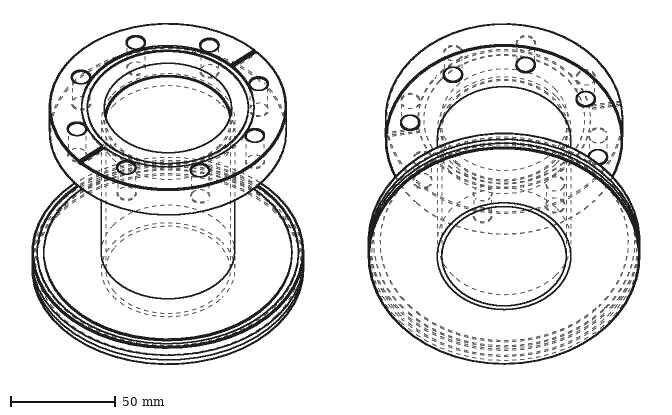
import cadquery as cq

total_height = 110.0

tube_diameter = 64.0
tube_bore = 59.5

clamp_flange_diameter = 130.0
clamp_flange_height = 12.0
clamp_flange_chamfer = 0.5
rim_groove_radius = 1.5
rim_groove_height = 5.1
claw_groove_outer_diameter = 125.0
claw_groove_inner_diameter = 118.8
claw_groove_depth = 1.0

bolt_flange_diameter = 113.5
bolt_flange_height = 17.5
bolt_flange_chamfer = 0.5
bolt_flange_bore = 61.0
bore_lip_height = 8.3

recess_diameter = 82.5
recess_depth = 1.2
knife_edge_diameter = 77.1
knife_edge_height = 0.6

bolt_count = 8
bolt_circle_diameter = 92.1
bolt_hole_diameter = 8.5
bolt_hole_chamfer = 0.4

leak_slot_width = 1.8
leak_slot_depth = 1.0
leak_slot_angle = 90 + 180 / bolt_count

bolt_flange_base = total_height - bolt_flange_height
recess_floor = total_height - recess_depth
tube_top = recess_floor - bore_lip_height


def cylinder(diameter, bottom, top):
    """Vertical cylinder on the Z axis between two levels."""
    return cq.Workplane("XY").workplane(offset=bottom).circle(diameter / 2).extrude(top - bottom)


def ring(outer_diameter, inner_diameter, bottom, top):
    """Vertical ring on the Z axis between two levels."""
    return cylinder(outer_diameter, bottom, top).cut(cylinder(inner_diameter, bottom, top))


def make_tube():
    """Plain tube, flush with the base and ending inside the bolted flange."""
    return ring(tube_diameter, tube_bore, 0, tube_top)


def make_rim_groove():
    """Round-bottomed groove around the rim of the clamp flange."""
    return (
        cq.Workplane("XZ")
        .center(clamp_flange_diameter / 2, rim_groove_height)
        .circle(rim_groove_radius)
        .revolve(360, (-clamp_flange_diameter / 2, 0), (-clamp_flange_diameter / 2, 1))
    )


def make_clamp_flange():
    """Disc around the tube with a rim groove and a shallow claw groove on top."""
    disc = cylinder(clamp_flange_diameter, 0, clamp_flange_height)
    disc = disc.edges("%CIRCLE").chamfer(clamp_flange_chamfer)
    claw_groove = ring(
        claw_groove_outer_diameter,
        claw_groove_inner_diameter,
        clamp_flange_height - claw_groove_depth,
        clamp_flange_height,
    )
    tube_hole = cylinder(tube_diameter, 0, clamp_flange_height)
    return disc.cut(claw_groove).cut(make_rim_groove()).cut(tube_hole)


def make_seal_recess():
    """Round recess whose floor carries a knife edge sloping down to the recess wall."""
    knife_radius = knife_edge_diameter / 2
    recess_radius = recess_diameter / 2
    return (
        cq.Workplane("XZ")
        .moveTo(0, recess_floor)
        .lineTo(knife_radius, recess_floor)
        .lineTo(knife_radius, recess_floor + knife_edge_height)
        .lineTo(recess_radius, recess_floor)
        .lineTo(recess_radius, total_height)
        .lineTo(0, total_height)
        .close()
        .revolve(360, (0, 0), (0, 1))
    )


def make_bolt_holes():
    """Through holes on the bolt circle, chamfered at both ends."""
    radius = bolt_hole_diameter / 2
    mouth_radius = radius + bolt_hole_chamfer
    hole = (
        cq.Workplane("XZ")
        .moveTo(0, bolt_flange_base)
        .lineTo(mouth_radius, bolt_flange_base)
        .lineTo(radius, bolt_flange_base + bolt_hole_chamfer)
        .lineTo(radius, total_height - bolt_hole_chamfer)
        .lineTo(mouth_radius, total_height)
        .lineTo(0, total_height)
        .close()
        .revolve(360, (0, 0), (0, 1))
        .val()
    )
    return (
        cq.Workplane("XY")
        .polarArray(bolt_circle_diameter / 2, 0, 360, bolt_count)
        .eachpoint(lambda place: hole.moved(place))
    )


def make_leak_slots():
    """Straight bar across the flange, interrupted by the recess, for one slot on each side."""
    return (
        cq.Workplane("XY")
        .workplane(offset=total_height - leak_slot_depth)
        .rect(bolt_flange_diameter, leak_slot_width)
        .extrude(leak_slot_depth)
        .cut(cylinder(recess_diameter, total_height - leak_slot_depth, total_height))
        .rotate((0, 0, 0), (0, 0, 1), leak_slot_angle)
    )


def make_bolt_flange():
    """Bolted flange with a bore, a socket for the tube and a knife-edge sealing face."""
    disc = cylinder(bolt_flange_diameter, bolt_flange_base, total_height)
    disc = disc.edges("%CIRCLE").chamfer(bolt_flange_chamfer)
    bore = cylinder(bolt_flange_bore, bolt_flange_base, total_height)
    tube_socket = cylinder(tube_diameter, bolt_flange_base, tube_top)
    return (
        disc.cut(bore)
        .cut(tube_socket)
        .cut(make_seal_recess())
        .cut(make_bolt_holes())
        .cut(make_leak_slots())
    )


tube = make_tube()
clamp_flange = make_clamp_flange()
bolt_flange = make_bolt_flange()

result = cq.Compound.makeCompound([tube.val(), clamp_flange.val(), bolt_flange.val()])